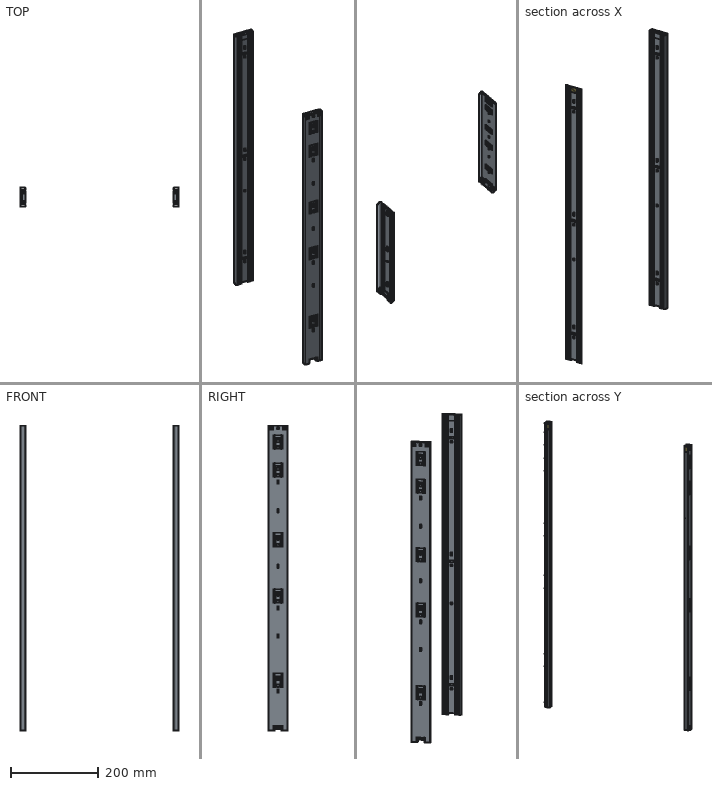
import cadquery as cq


rail_length = 700.0
pair_width = 364.0
rail_height = 45.0
rail_depth = 12.5
sheet = 1.2
half_height = rail_height / 2

web_bend = 1.5
curl_radius = 3.0
lip_end = 18.0

middle_web_x = 2.95
middle_half_height = 17.0
middle_flange_end = 12.0

drawer_half_height = 13.0
drawer_foot_x = 4.55
web_half_height = 9.0

stop_length = 14.0

slot_width = 4.35
slot_length = 8.5
slot_depths = [129.5, 195.0, 323.0, 418.5, 483.0, 609.0]
round_hook_depths = [22.0, 86.0]
slotted_hook_depths = [246.5, 375.0, 568.5]
hook_height = 31.5
hook_half_width = 10.5
hook_recess = 0.55
head_half_width = 8.0
head_height = 6.0
leg_inner = 5.25
leg_offset = 9.0
hook_hole_diameter = 7.0
upper_hole_offset = 13.0
upper_slot_offset = 12.0
lower_hole_offset = 28.0
end_hole_diameter = 5.0
end_hole_depth = 6.0
tab_inner = 11.0
tab_outer = 19.5
tab_depth = 4.0
tab_height = 5.0

drawer_group_depths = [36.5, 325.0, 613.0]
level_slot_offset = 17.0
level_slot_length = 11.0
drawer_hole_offset = 26.5
drawer_hole_diameter = 5.0
single_hole_depth = 440.0

cabinet_notch_half_width = 10.5
cabinet_notch_height = 11.0
notch_half_width = 8.0
notch_height = 3.5
middle_notch_height = 8.5


def box_between(x_range, y_range, z_range):
    """Solid box spanning the three given ranges."""
    return (
        cq.Workplane("XY")
        .box(x_range[1] - x_range[0], y_range[1] - y_range[0], z_range[1] - z_range[0], centered=False)
        .translate((x_range[0], y_range[0], z_range[0]))
    )


def web_box(y_range, z_range, depth=rail_depth, start=0.0):
    """Box cutter entering a web along X."""
    return box_between((start, start + depth), y_range, z_range)


def web_slot(depth, length=slot_length, angle=90, start=0.0):
    """Round-ended slot cutter through a web; an angle of 90 stands it upright."""
    return (
        cq.Workplane("YZ", origin=(start, 0, rail_length - depth))
        .slot2D(length, slot_width, angle)
        .extrude(sheet)
    )


def web_hole(depth, diameter, start=0.0):
    """Round hole cutter through a web."""
    return (
        cq.Workplane("YZ", origin=(start, 0, rail_length - depth))
        .circle(diameter / 2)
        .extrude(sheet)
    )


def notch(half_width, height):
    """Cutter for a notch in the bottom end, through the whole depth of the slide."""
    return web_box((-half_width, half_width), (0, height))


def hook_opening(depth):
    """Cutter for a mounting hook: head window, two recessed legs and the hole below the tongue."""
    top = rail_length - depth
    bottom = top - hook_height
    head_bottom = top - head_height
    cutter = web_hole(depth + lower_hole_offset, hook_hole_diameter)
    cutter = cutter.union(web_box((-head_half_width, head_half_width), (head_bottom, top), sheet))
    for side in (-1, 1):
        leg = web_box(sorted((side * leg_inner, side * head_half_width)), (bottom, top - leg_offset), sheet)
        recess = web_box(sorted((side * leg_inner, side * hook_half_width)), (bottom, top), hook_recess)
        cutter = cutter.union(leg).union(recess)
    return cutter


def cabinet_half_profile():
    """Outline of the +Y half: web, bend, flange and the lip curled round at the open side."""
    inner_curl = curl_radius - sheet
    flange_end = rail_depth - curl_radius
    return (
        cq.Workplane("XY")
        .moveTo(0, 0)
        .lineTo(0, half_height - web_bend)
        .radiusArc((web_bend, half_height), web_bend)
        .lineTo(flange_end, half_height)
        .radiusArc((rail_depth, half_height - curl_radius), curl_radius)
        .lineTo(rail_depth, lip_end)
        .lineTo(rail_depth - sheet, lip_end)
        .lineTo(rail_depth - sheet, half_height - curl_radius)
        .radiusArc((flange_end, half_height - sheet), -inner_curl)
        .lineTo(sheet, half_height - sheet)
        .lineTo(sheet, 0)
        .close()
    )


def both_halves(half_profile):
    """Full-length rail from the outline of its +Y half."""
    half = half_profile.extrude(rail_length)
    return half.union(half.mirror("XZ")).clean()


def make_cabinet_member():
    """Outer channel whose web carries the mounting hooks, slots and end openings."""
    member = both_halves(cabinet_half_profile())
    for depth in slot_depths:
        member = member.cut(web_slot(depth))
    for depth in round_hook_depths:
        member = member.cut(hook_opening(depth))
        member = member.cut(web_hole(depth + upper_hole_offset, hook_hole_diameter))
    for depth in slotted_hook_depths:
        member = member.cut(hook_opening(depth))
        member = member.cut(web_slot(depth + upper_slot_offset))
    member = member.cut(web_hole(end_hole_depth, end_hole_diameter))
    tab_top = rail_length - tab_depth
    for y_range in ((tab_inner, tab_outer), (-tab_outer, -tab_inner)):
        member = member.cut(web_box(y_range, (tab_top - tab_height, tab_top), sheet))
    return member.cut(notch(cabinet_notch_half_width, cabinet_notch_height))


def make_middle_member():
    """Plain channel running inside the cabinet member."""
    profile = (
        cq.Workplane("XY")
        .moveTo(middle_web_x, 0)
        .lineTo(middle_web_x, middle_half_height)
        .lineTo(middle_flange_end, middle_half_height)
        .lineTo(middle_flange_end, middle_half_height - sheet)
        .lineTo(middle_web_x + sheet, middle_half_height - sheet)
        .lineTo(middle_web_x + sheet, 0)
        .close()
    )
    return both_halves(profile).cut(notch(notch_half_width, middle_notch_height))


def make_drawer_member():
    """Inner rail of hat section, its side walls turned back up towards the drawer side."""
    web_inside = rail_depth - sheet
    foot_top = drawer_foot_x + sheet
    profile = (
        cq.Workplane("XY")
        .moveTo(rail_depth, 0)
        .lineTo(rail_depth, web_half_height)
        .lineTo(foot_top, web_half_height)
        .lineTo(foot_top, drawer_half_height - sheet)
        .lineTo(rail_depth, drawer_half_height - sheet)
        .lineTo(rail_depth, drawer_half_height)
        .lineTo(drawer_foot_x, drawer_half_height)
        .lineTo(drawer_foot_x, web_half_height - sheet)
        .lineTo(web_inside, web_half_height - sheet)
        .lineTo(web_inside, 0)
        .close()
    )
    member = both_halves(profile)
    for depth in drawer_group_depths:
        member = member.cut(web_slot(depth, start=web_inside))
        member = member.cut(web_slot(depth + level_slot_offset, level_slot_length, 0, web_inside))
        member = member.cut(web_hole(depth + drawer_hole_offset, drawer_hole_diameter, web_inside))
    member = member.cut(web_hole(single_hole_depth, drawer_hole_diameter, web_inside))
    return member.cut(notch(notch_half_width, notch_height))


def make_stop_block():
    """Block filling the hollow of the drawer member at its top end."""
    half_width = web_half_height - sheet
    return box_between(
        (drawer_foot_x, rail_depth - sheet),
        (-half_width, half_width),
        (rail_length - stop_length, rail_length),
    )


bodies = []
for make_body in (make_cabinet_member, make_middle_member, make_drawer_member, make_stop_block):
    left_body = make_body().translate((-pair_width / 2, 0, -rail_length / 2))
    right_body = left_body.mirror("YZ")
    bodies += [left_body.val(), right_body.val()]

result = cq.Compound.makeCompound(bodies)